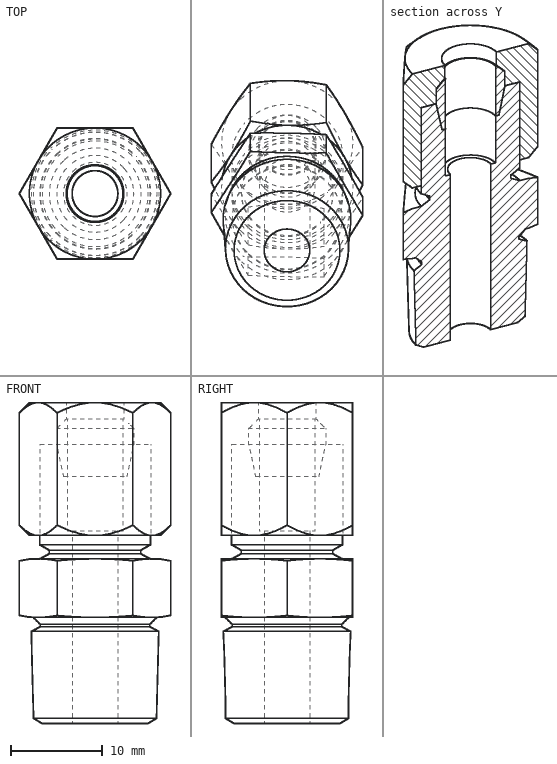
import cadquery as cq
import math

total_height = 35.0
across_flats = 14.3
flat_radius = across_flats / 2
corner_radius = flat_radius / math.cos(math.pi / 6)

tip_radius = 5.78
tip_chamfer_height = 0.55
taper_bottom_radius = 6.72
taper_top_radius = 6.95
taper_top_z = 10.05
lower_neck_radius = 6.0
lower_neck_bottom_z = 10.57
lower_neck_top_z = 10.8
hex_bottom_z = 11.6
hex_top_z = 17.95
hex_chamfer_height = 0.2
lower_cone_radius = lower_neck_radius + (hex_bottom_z - lower_neck_top_z)
spigot_radius = 6.05
upper_neck_radius = 5.0
upper_neck_bottom_z = 18.5
upper_neck_top_z = 18.9
spigot_start_z = 19.5
spigot_top_z = 30.45

through_radius = 2.5
socket_radius = 3.05
socket_floor_z = 21.0

nut_bottom_z = 20.5
nut_chamfer_height = 1.12
nut_bore_radius = 3.15

ferrule_top_z = 33.25
ferrule_radius = 4.2
ferrule_shoulder_z = ferrule_top_z - (ferrule_radius - nut_bore_radius)
ferrule_tip_z = 26.95
ferrule_tip_radius = ferrule_radius - (spigot_top_z - ferrule_tip_z) * math.tan(math.radians(12))


def revolve_profile(points):
    """Revolve a closed outline of (radius, z) points about the Z axis."""
    return cq.Workplane("XZ").polyline(points).close().revolve(360, (0, 0, 0), (0, 1, 0))


def chamfered_hexagon(bottom_z, top_z, chamfer_height):
    """Hexagonal prism with corners on X and both ends turned to a cone."""
    prism = (
        cq.Workplane("XY")
        .workplane(offset=bottom_z)
        .polygon(6, 2 * corner_radius)
        .extrude(top_z - bottom_z)
    )
    turned_blank = revolve_profile([
        (0, bottom_z),
        (flat_radius, bottom_z),
        (corner_radius, bottom_z + chamfer_height),
        (corner_radius, top_z - chamfer_height),
        (flat_radius, top_z),
        (0, top_z),
    ])
    return prism.intersect(turned_blank)


def make_housing():
    turned_body = revolve_profile([
        (0, 0),
        (tip_radius, 0),
        (taper_bottom_radius, tip_chamfer_height),
        (taper_top_radius, taper_top_z),
        (lower_neck_radius, lower_neck_bottom_z),
        (lower_neck_radius, lower_neck_top_z),
        (lower_cone_radius, hex_bottom_z),
        (spigot_radius, hex_top_z),
        (upper_neck_radius, upper_neck_bottom_z),
        (upper_neck_radius, upper_neck_top_z),
        (spigot_radius, spigot_start_z),
        (spigot_radius, spigot_top_z),
        (0, spigot_top_z),
    ])
    passage = revolve_profile([
        (0, 0),
        (through_radius, 0),
        (through_radius, socket_floor_z),
        (socket_radius, socket_floor_z),
        (socket_radius, ferrule_tip_z),
        (ferrule_tip_radius, ferrule_tip_z),
        (ferrule_radius, spigot_top_z),
        (0, spigot_top_z),
    ])
    hexagon = chamfered_hexagon(hex_bottom_z, hex_top_z, hex_chamfer_height)
    return turned_body.union(hexagon).cut(passage)


def make_nut():
    cavity = revolve_profile([
        (0, nut_bottom_z),
        (spigot_radius, nut_bottom_z),
        (spigot_radius, spigot_top_z),
        (ferrule_radius, spigot_top_z),
        (ferrule_radius, ferrule_shoulder_z),
        (nut_bore_radius, ferrule_top_z),
        (nut_bore_radius, total_height),
        (0, total_height),
    ])
    return chamfered_hexagon(nut_bottom_z, total_height, nut_chamfer_height).cut(cavity)


def make_ferrule():
    return revolve_profile([
        (socket_radius, ferrule_tip_z),
        (ferrule_tip_radius, ferrule_tip_z),
        (ferrule_radius, spigot_top_z),
        (ferrule_radius, ferrule_shoulder_z),
        (nut_bore_radius, ferrule_top_z),
        (socket_radius, ferrule_top_z),
    ])


housing = make_housing()
nut = make_nut()
ferrule = make_ferrule()

result = cq.Compound.makeCompound([housing.val(), nut.val(), ferrule.val()])